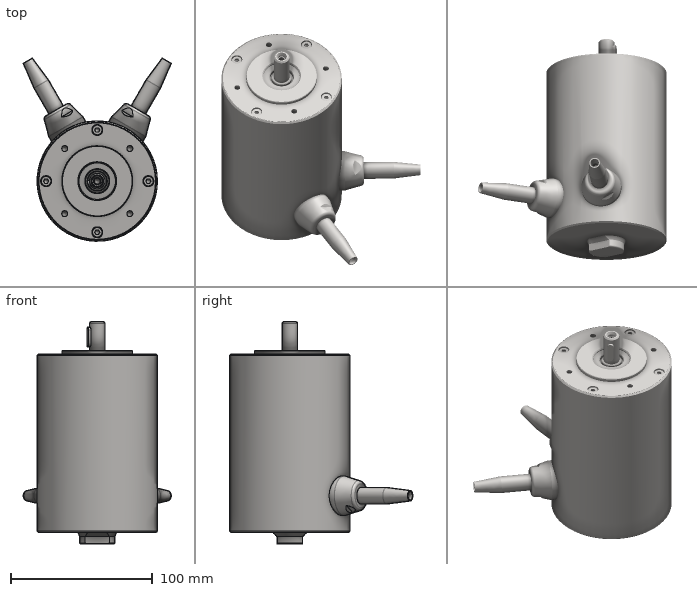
import cadquery as cq
import math

BODY_DIAMETER = 85.0
BODY_LENGTH = 126.0
BODY_CHAMFER = 1.0

COVER_GROOVE_OUTER_RADIUS = 41.4
COVER_GROOVE_INNER_RADIUS = 41.1
COVER_GROOVE_DEPTH = 0.2

BOSS_DIAMETER = 50.0
BOSS_HEIGHT = 2.5
BOSS_CHAMFER = 0.4
BOSS_TOP = BODY_LENGTH + BOSS_HEIGHT

SEAL_RECESS_DIAMETER = 27.4
SEAL_RECESS_DEPTH = 1.4
SEAL_RECESS_CHAMFER = 0.8
BORE_DIAMETER = 17.6
BORE_DEPTH = 4.0
BORE_CHAMFER = 0.5
COLLAR_DIAMETER = 14.2
COLLAR_SINK = 1.5
COLLAR_CHAMFER = 0.4

SHAFT_DIAMETER = 11.0
SHAFT_TOP = BODY_LENGTH + 23.0
SHAFT_CHAMFER = 1.0
CENTRE_SINK_DIAMETER = 7.4
CENTRE_SINK_HALF_ANGLE = 30.0
CENTRE_BORE_DIAMETER = 5.3
CENTRE_BORE_DEPTH = 3.0
CENTRE_DRILL_DIAMETER = 4.2
CENTRE_DRILL_DEPTH = 12.0

KEY_WIDTH = 4.0
KEY_LENGTH = 14.0
KEY_BOTTOM_RADIUS = 3.0
KEY_TOP_RADIUS = 7.0
KEY_CENTRE_Z = BODY_LENGTH + 12.0
KEY_ANGLE = 15.0

FASTENER_COUNT = 4
SCREW_CIRCLE_RADIUS = 36.1
SCREW_POCKET_DIAMETER = 7.7
SCREW_POCKET_DEPTH = 4.0
SCREW_HEAD_DIAMETER = 6.8
SCREW_HEAD_SINK = 0.9
SOCKET_SIDES = 6
SOCKET_ACROSS_CORNERS = 3.6
SOCKET_DEPTH = 2.5
TAPPED_CIRCLE_RADIUS = 32.5
TAPPED_DIAMETER = 4.2
TAPPED_DEPTH = 10.0
DRILL_POINT_HALF_ANGLE = 59.0

PLUG_DIAMETER = 25.0
PLUG_HEIGHT = 8.0
PLUG_NECK_DIAMETER = 27.3
PLUG_NECK_HEIGHT = 2.6
PLUG_EDGE_FILLET = 1.15
PLUG_FLAT_OFFSET = 9.0
PLUG_FLAT_START = 2.9

OUTLET_Z = 26.0
OUTLET_DIRECTION = 120.0
OUTLET_ROOT = 25.0
GLAND_RADIUS = 14.0
GLAND_SHOULDER = 44.4
GLAND_FACE = 58.0
GLAND_FACE_RADIUS = 10.3
GLAND_FILLET = 2.4
GLAND_FLAT_OFFSET = 10.8
GLAND_FLAT_START = 51.8
GLAND_FLAT_TURN = 30.0
CABLE_RADIUS = 5.9
CABLE_TIP_RADIUS = 3.75
CABLE_TAPER_START = 79.2
CABLE_TIP = 98.08
CABLE_BORE_RADIUS = 3.0
CABLE_BORE_DEPTH = 15.0


def turned(points):
    """Solid of revolution about Z from (radius, height) points."""
    return cq.Workplane("XZ").polyline(points).close().revolve(360, (0, 0, 0), (0, 1, 0))


def cylinder(radius, bottom, top):
    return cq.Workplane("XY").workplane(offset=bottom).circle(radius).extrude(top - bottom)


def drilled_hole(diameter, depth):
    """Cutter for a hole from Z = 0 downward, ending in a drill point."""
    radius = diameter / 2
    point = radius / math.tan(math.radians(DRILL_POINT_HALF_ANGLE))
    return turned([(0, 0), (radius, 0), (radius, -depth), (0, -depth - point)])


def around_face(cutter, radius, first_angle):
    """Copies of a cutter spread evenly around the output face, all facing the same way."""
    copies = cq.Workplane("XY")
    for i in range(FASTENER_COUNT):
        angle = math.radians(first_angle + i * 360 / FASTENER_COUNT)
        place = (radius * math.cos(angle), radius * math.sin(angle), BODY_LENGTH)
        copies = copies.add(cutter.translate(place))
    return copies.combine()


def cut_wrench_flats(solid, outward, axis, origin, offset, start, end, reach):
    """Cut two opposite flats parallel to an axis, each ending in a 45 degree shoulder.

    Offset is the distance of a flat from the axis; start and end are distances along the axis.
    Reach is how far the cutter extends past the flat, outward and sideways.
    """
    for sign in (1, -1):
        side = cq.Vector(*outward) * sign
        along = cq.Vector(*axis)
        plane = cq.Plane(origin=origin, xDir=side, normal=side.cross(along))
        outline = [
            (offset, end),
            (offset, start),
            (offset + reach, start - reach),
            (offset + reach, end),
        ]
        cutter = cq.Workplane(plane).polyline(outline).close().extrude(2 * reach, both=True)
        solid = solid.cut(cutter)
    return solid


def make_housing():
    body = cylinder(BODY_DIAMETER / 2, 0, BODY_LENGTH).edges().chamfer(BODY_CHAMFER)
    groove_floor = BODY_LENGTH - COVER_GROOVE_DEPTH
    groove = cylinder(COVER_GROOVE_OUTER_RADIUS, groove_floor, BODY_LENGTH)
    groove = groove.cut(cylinder(COVER_GROOVE_INNER_RADIUS, groove_floor, BODY_LENGTH))
    boss = cylinder(BOSS_DIAMETER / 2, BODY_LENGTH - BODY_CHAMFER, BOSS_TOP)
    return body.cut(groove).union(boss.faces(">Z").edges().chamfer(BOSS_CHAMFER))


def shaft_recess():
    """Chamfered recess in the boss with a deeper chamfered bore in its floor."""
    recess_radius = SEAL_RECESS_DIAMETER / 2
    recess_floor = BOSS_TOP - SEAL_RECESS_DEPTH
    bore_radius = BORE_DIAMETER / 2
    return turned([
        (0, BOSS_TOP),
        (recess_radius, BOSS_TOP),
        (recess_radius - SEAL_RECESS_CHAMFER, BOSS_TOP - SEAL_RECESS_CHAMFER),
        (recess_radius - SEAL_RECESS_CHAMFER, recess_floor),
        (bore_radius, recess_floor),
        (bore_radius - BORE_CHAMFER, recess_floor - BORE_CHAMFER),
        (bore_radius - BORE_CHAMFER, BOSS_TOP - BORE_DEPTH),
        (0, BOSS_TOP - BORE_DEPTH),
    ])


def make_shaft():
    root = BOSS_TOP - 2 * BORE_DEPTH
    shaft = cylinder(SHAFT_DIAMETER / 2, root, SHAFT_TOP).faces(">Z").edges().chamfer(SHAFT_CHAMFER)
    collar = cylinder(COLLAR_DIAMETER / 2, root, BOSS_TOP - COLLAR_SINK)
    collar = collar.faces(">Z").edges().chamfer(COLLAR_CHAMFER)
    key = (
        cq.Workplane("YZ", origin=(-KEY_TOP_RADIUS, 0, KEY_CENTRE_Z))
        .slot2D(KEY_LENGTH, KEY_WIDTH, 90)
        .extrude(KEY_TOP_RADIUS - KEY_BOTTOM_RADIUS)
        .rotate((0, 0, 0), (0, 0, 1), KEY_ANGLE)
    )
    sink_radius = CENTRE_SINK_DIAMETER / 2
    bore_radius = CENTRE_BORE_DIAMETER / 2
    sink_depth = (sink_radius - bore_radius) / math.tan(math.radians(CENTRE_SINK_HALF_ANGLE))
    centre_hole = turned([
        (0, 0),
        (sink_radius, 0),
        (bore_radius, -sink_depth),
        (bore_radius, -CENTRE_BORE_DEPTH),
        (0, -CENTRE_BORE_DEPTH),
    ]).union(drilled_hole(CENTRE_DRILL_DIAMETER, CENTRE_DRILL_DEPTH))
    return shaft.union(collar).union(key).cut(centre_hole.translate((0, 0, SHAFT_TOP)))


def screw_recess():
    """Gap above and around one socket screw head, with its socket."""
    gap = cylinder(SCREW_POCKET_DIAMETER / 2, -SCREW_POCKET_DEPTH, 0)
    head = cylinder(SCREW_HEAD_DIAMETER / 2, -SCREW_POCKET_DEPTH, -SCREW_HEAD_SINK)
    socket = cq.Workplane("XY").polygon(SOCKET_SIDES, SOCKET_ACROSS_CORNERS).extrude(-SCREW_POCKET_DEPTH)
    socket = socket.intersect(drilled_hole(SOCKET_ACROSS_CORNERS, SOCKET_DEPTH))
    return gap.cut(head).union(socket)


def make_plug():
    radius = PLUG_DIAMETER / 2
    plug = turned([
        (0, BODY_CHAMFER),
        (PLUG_NECK_DIAMETER / 2, BODY_CHAMFER),
        (PLUG_NECK_DIAMETER / 2, 0),
        (radius, -PLUG_NECK_HEIGHT),
        (radius, -PLUG_HEIGHT),
        (0, -PLUG_HEIGHT),
    ])
    plug = plug.faces("<Z").edges().fillet(PLUG_EDGE_FILLET)
    return cut_wrench_flats(
        plug, (0, 1, 0), (0, 0, -1), (0, 0, 0),
        PLUG_FLAT_OFFSET, PLUG_FLAT_START, PLUG_HEIGHT, PLUG_DIAMETER,
    )


def make_cable_outlet():
    """Gland and tapered cable end, standing along +Z, then laid down radially."""
    gland = turned([
        (0, OUTLET_ROOT),
        (GLAND_RADIUS, OUTLET_ROOT),
        (GLAND_RADIUS, GLAND_SHOULDER),
        (GLAND_FACE_RADIUS, GLAND_FACE),
        (0, GLAND_FACE),
    ]).faces(">Z").edges().fillet(GLAND_FILLET)
    turn = math.radians(GLAND_FLAT_TURN)
    gland = cut_wrench_flats(
        gland, (-math.cos(turn), -math.sin(turn), 0), (0, 0, 1), (0, 0, 0),
        GLAND_FLAT_OFFSET, GLAND_FLAT_START, GLAND_FACE, GLAND_RADIUS,
    )
    cable = turned([
        (0, OUTLET_ROOT),
        (CABLE_RADIUS, OUTLET_ROOT),
        (CABLE_RADIUS, CABLE_TAPER_START),
        (CABLE_TIP_RADIUS, CABLE_TIP),
        (0, CABLE_TIP),
    ])
    bore = cylinder(CABLE_BORE_RADIUS, CABLE_TIP - CABLE_BORE_DEPTH, CABLE_TIP)
    outlet = gland.union(cable).cut(bore)
    laid_down = outlet.rotate((0, 0, 0), (0, 1, 0), 90)
    return laid_down.rotate((0, 0, 0), (0, 0, 1), OUTLET_DIRECTION).translate((0, 0, OUTLET_Z))


left_outlet = make_cable_outlet()
right_outlet = left_outlet.mirror("YZ")

result = make_housing().union(make_plug()).union(left_outlet).union(right_outlet)
result = result.cut(shaft_recess()).union(make_shaft())
result = result.cut(around_face(screw_recess(), SCREW_CIRCLE_RADIUS, 0))
tapped_hole = drilled_hole(TAPPED_DIAMETER, TAPPED_DEPTH)
result = result.cut(around_face(tapped_hole, TAPPED_CIRCLE_RADIUS, 180 / FASTENER_COUNT))